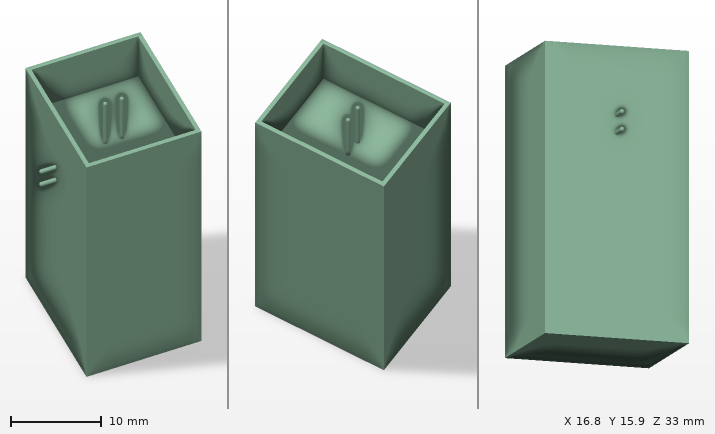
import cadquery as cq
housing_length = 16.79
housing_width = 13.87
housing_height = 33.02
wall_thickness = 0.5
recess_depth = 6.31

pin_diameter = 0.52
pin_pitch = 2.0
floor_pin_length = recess_depth
side_pin_length = 2.0
side_pins_below_top = 8.76

floor_z = housing_height - recess_depth
pin_radius = pin_diameter / 2
front_y = -housing_width / 2
side_pins_z = housing_height - side_pins_below_top
pair_offsets = (-pin_pitch / 2, pin_pitch / 2)


def make_housing():
    """Block standing on Z = 0, centred in X and Y, with its top recessed."""
    block = cq.Workplane("XY").box(
        housing_length, housing_width, housing_height, centered=(True, True, False)
    )
    recess = (
        cq.Workplane("XY")
        .workplane(offset=floor_z)
        .rect(housing_length - 2 * wall_thickness, housing_width - 2 * wall_thickness)
        .extrude(recess_depth)
    )
    return block.cut(recess)


def make_pin(base, direction, length):
    """Round pin growing from base along direction, ending in a hemisphere."""
    plane = cq.Plane(origin=base, xDir=(1, 0, 0), normal=direction)
    shank_length = length - pin_radius
    shank = cq.Workplane(plane).circle(pin_radius).extrude(shank_length)
    tip = cq.Workplane(plane).workplane(offset=shank_length).sphere(pin_radius)
    return shank.union(tip)


housing = make_housing()

floor_pins = []
for offset in pair_offsets:
    floor_pins.append(make_pin((0, offset, floor_z), (0, 0, 1), floor_pin_length))

side_pins = []
for offset in pair_offsets:
    side_pins.append(make_pin((0, front_y, side_pins_z + offset), (0, -1, 0), side_pin_length))

result = cq.Compound.makeCompound(
    [
        housing.val(),
        *[pin.val() for pin in floor_pins],
        *[pin.val() for pin in side_pins],
    ]
)